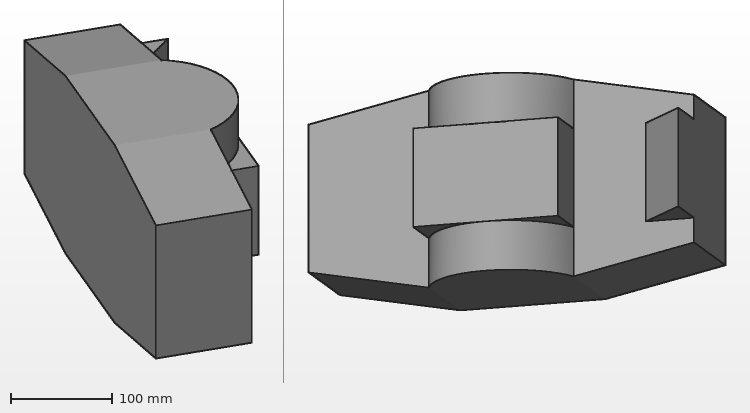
import cadquery as cq

length = 400.0
height = 200.0
body_depth = 100.0
center_width = 150.0
end_height = 150.0

projection = 50.0
block_height = 100.0

center_left = (length - center_width) / 2
center_right = center_left + center_width
end_bottom = (height - end_height) / 2
end_top = end_bottom + end_height
block_bottom = (height - block_height) / 2
back = body_depth + projection


def make_body():
    outline = [
        (0, end_bottom),
        (center_left, 0),
        (center_right, 0),
        (length, end_bottom),
        (length, end_top),
        (center_right, height),
        (center_left, height),
        (0, end_top),
    ]
    return cq.Workplane("XZ").polyline(outline).close().extrude(-body_depth)


def make_rounded_back():
    """Full-height centre section, its back bulging out in a circular arc."""
    return (
        cq.Workplane("XY")
        .moveTo(center_left, 0)
        .lineTo(center_right, 0)
        .lineTo(center_right, body_depth)
        .threePointArc((length / 2, back), (center_left, body_depth))
        .close()
        .extrude(height)
    )


def make_center_block():
    """Square-cornered block between the upper and lower arcs."""
    return (
        cq.Workplane("XY", origin=(center_left, 0, block_bottom))
        .box(center_width, back, block_height, centered=False)
    )


def make_end_wedge():
    """45 degree triangular hook on the back, flush with the -X end face."""
    return (
        cq.Workplane("XY", origin=(0, body_depth, block_bottom))
        .polyline([(0, 0), (projection, 0), (0, projection)])
        .close()
        .extrude(block_height)
    )


result = (
    make_body()
    .union(make_rounded_back())
    .union(make_center_block())
    .union(make_end_wedge())
    .clean()
)